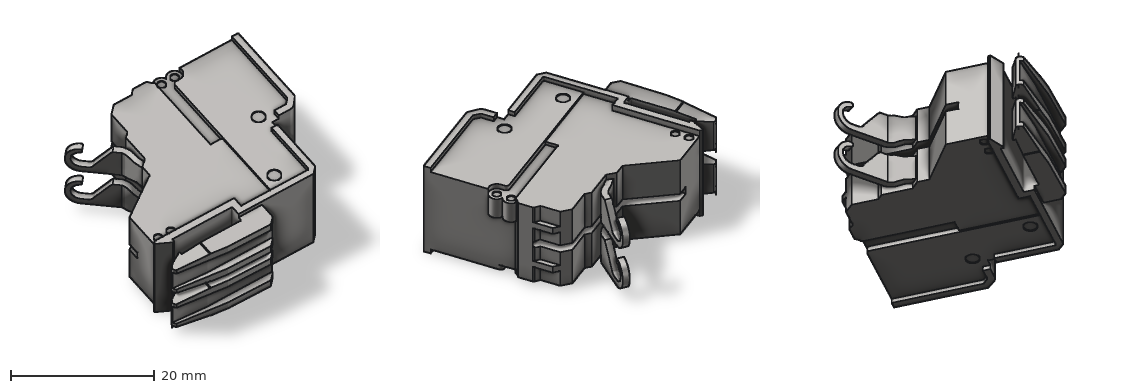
import cadquery as cq
import math


HEIGHT = 31.45
THICKNESS = 15.0
RIM_HALF = THICKNESS / 2
COVER_HALF = 6.8
LOWER_HALF = 6.5
STRIP_HALF = 5.98
LANE_SPACING = 7.08
LANE_Z = LANE_SPACING / 2

BACK_LEFT = 0.8
BACK_RIGHT = 16.3
STEP_Y = 26.45
RIGHT_X = 27.75
SPLIT_Y = 19.15
STRIP_Y = 17.18
STRIP_END = 14.47
STRIP_FILLET = 0.55
RIM_WIDTH = 1.05
BACK_RIM_WIDTH = 1.1
BACK_RIM_END = 27.55
SHOULDER_RIM_START = 17.55
RIM_FILLET = 0.25
OVERLAP = 1.57
FOOT_LEFT = 25.0
FOOT_RIGHT = 26.17
FOOT_TOP = 13.85
BASE_Y = 0.3
CHANNEL_TOP = 12.68
CHANNEL_FILLET = 0.2
HOOK_LOW = 2.2
HOOK_HIGH = 2.5
CORNER_CUT = 1.0

COVER_HOLE_DIA = 2.0
COVER_HOLES = [(14.38, 25.45), (24.32, 21.17)]
SMALL_HOLE_DIA = 1.3
FOOT_HOLES = [(24.1, 3.65), (24.1, 1.5)]
HOLE_DEPTH = 0.2

BARREL_DIA = 2.45
BARREL_X = 1.25
BARREL_YS = (20.3, 18.05)
BARREL_POINTS = [(BARREL_X, y) for y in BARREL_YS]
BARREL_BOTTOM = 2.67

SLOT_WIDTH = 1.2
SLOT_END = 20.67
SLOT_TOP = 14.13
WINDOW_DEPTH = 0.8
RIB_WIDTH = 1.05
RIB_Z = 3.4

LEG_BOTTOM = 0.7
LEG_TOP = COVER_HALF
LEG_HEAD = 16.67
LEG_OUT = 31.35
LEG_INNER = 28.4
TOOTH_X = 28.0
WEB_OUT = 30.2
FLANGE = 1.32
LEG_BEVEL_Y = 5.65
LEG_BEVEL = 0.57
BEVEL_STEP = 0.05

SHEET = 1.07
SHEET_WIDTH = 4.88
SHEET_HALF = SHEET_WIDTH / 2
NECK_HALF = 2.05
TIP_X, TIP_Y = 2.9, 0.4
SHEET_ANGLE = 48.0
NECK_ANGLE = 13.7
NARROWING_START = (9.1, 6.67, 0)
NARROWING = 1.32
ARM_LENGTH = 8.02
EYE_RADIUS = 1.5
TIP_FLAT = 0.13
END_ANGLE = 98.0


def slab(outline, low, high):
    """Extrude an XY outline from one Z height to another."""
    return outline.extrude(high - low).translate((0, 0, low))


def both_sides(solid):
    """A solid together with its mirror image below the mid plane."""
    return solid.union(solid.mirror("XY"))


def housing_core():
    """Full-thickness housing with the fixed side of the latch channel."""
    cover = slab(
        cq.Workplane().moveTo(BACK_LEFT, STRIP_Y - OVERLAP).lineTo(BACK_LEFT, HEIGHT)
        .lineTo(BACK_RIGHT - 1.67, HEIGHT)
        .lineTo(BACK_RIGHT - 0.35, HEIGHT - 1.15)
        .threePointArc((BACK_RIGHT - 0.1, HEIGHT - 1.55), (BACK_RIGHT, HEIGHT - 1.98))
        .lineTo(BACK_RIGHT, STEP_Y).lineTo(RIGHT_X - CORNER_CUT, STEP_Y)
        .lineTo(RIGHT_X, STEP_Y - CORNER_CUT).lineTo(RIGHT_X, STRIP_Y - OVERLAP).close(),
        -RIM_HALF, RIM_HALF)
    front = slab(
        cq.Workplane().polyline([
            (BACK_LEFT, SPLIT_Y), (BACK_LEFT, STRIP_Y), (0.57, 16.8), (0, 16.35), (0, 11.0),
            (2.05, 8.95), (5.98, 8.95), (6.7, 8.18), (11.3, 8.18), (12.35, 7.0),
            (14.15, 7.0), (18.8, BASE_Y), (FOOT_LEFT + 0.3, BASE_Y), (FOOT_LEFT + 0.3, FOOT_TOP),
            (RIGHT_X, FOOT_TOP), (RIGHT_X, SPLIT_Y)]).close(),
        -RIM_HALF, RIM_HALF)
    foot = slab(
        cq.Workplane().polyline([
            (FOOT_LEFT, FOOT_TOP), (FOOT_LEFT, BASE_Y), (25.23, 0), (25.48, 0),
            (26.65, HOOK_LOW), (26.65, HOOK_HIGH), (FOOT_RIGHT, HOOK_HIGH),
            (FOOT_RIGHT, CHANNEL_TOP), (RIGHT_X, CHANNEL_TOP), (RIGHT_X, FOOT_TOP)]).close(),
        -RIM_HALF, RIM_HALF)
    foot = foot.edges("|Z").edges(
        cq.selectors.NearestToPointSelector((FOOT_RIGHT, CHANNEL_TOP, 0))).fillet(CHANNEL_FILLET)
    return cover.union(front).union(foot)


def side_recesses():
    """Stepped side faces inside the rim, as one cutter for the +Z side."""
    inner_right = RIGHT_X - RIM_WIDTH
    inner_left = BACK_RIGHT - BACK_RIM_WIDTH
    rim_top = HEIGHT - BACK_RIM_WIDTH
    shoulder_top = STEP_Y - RIM_WIDTH
    cover = slab(
        cq.Workplane().polyline([
            (-OVERLAP, SPLIT_Y), (-OVERLAP, rim_top), (inner_left - 0.85, rim_top),
            (inner_left, rim_top - 0.85), (inner_left, BACK_RIM_END),
            (BACK_RIGHT + 0.3, BACK_RIM_END), (BACK_RIGHT + 0.3, STEP_Y + 0.3),
            (SHOULDER_RIM_START, STEP_Y + 0.3), (SHOULDER_RIM_START, shoulder_top),
            (inner_right, shoulder_top), (inner_right, SPLIT_Y)]).close(),
        COVER_HALF, RIM_HALF)
    rounded_corners = cq.selectors.BoxSelector(
        (inner_left - 0.95, HEIGHT - 2.2, 0), (inner_left + 0.03, HEIGHT, RIM_HALF))
    rounded_corners += cq.selectors.BoxSelector(
        (inner_right - 0.3, STEP_Y - 1.25, 0), (inner_right + 0.3, STEP_Y, RIM_HALF))
    cover = cover.edges("|Z").edges(rounded_corners).fillet(RIM_FILLET)
    front = slab(
        cq.Workplane().polyline([
            (-OVERLAP, -OVERLAP), (-OVERLAP, SPLIT_Y), (inner_right, SPLIT_Y),
            (inner_right, FOOT_TOP), (FOOT_LEFT, FOOT_TOP), (FOOT_LEFT, -OVERLAP)]).close(),
        LOWER_HALF, RIM_HALF)
    strip = slab(
        cq.Workplane().moveTo(-OVERLAP, STRIP_Y).lineTo(STRIP_END, STRIP_Y)
        .lineTo(STRIP_END, SPLIT_Y).lineTo(-OVERLAP, SPLIT_Y).close(),
        STRIP_HALF, RIM_HALF)
    return cover.union(front).union(strip)


def holes(points, diameter, face_height):
    cutter = cq.Workplane().pushPoints(points).circle(diameter / 2)
    return slab(cutter, face_height - HOLE_DEPTH, RIM_HALF)


def strip_corner():
    """Rounded cover corner at the -X end of the strip, on the -Z side."""
    radius = STRIP_FILLET
    square = cq.Workplane().rect(radius, radius, centered=False).extrude(RIM_HALF - STRIP_HALF)
    disc = cq.Workplane().center(radius, radius).circle(radius).extrude(RIM_HALF - STRIP_HALF)
    return square.cut(disc).translate((BACK_LEFT, SPLIT_Y, -RIM_HALF))


def barrel_cavity():
    """Round clearance over the first barrel, running into the strip."""
    radius = BARREL_DIA / 2
    right = BARREL_X + radius
    fillet_x = right + STRIP_FILLET
    fillet_y = SPLIT_Y + STRIP_FILLET
    diagonal = STRIP_FILLET * math.sqrt(0.5)
    outline = (
        cq.Workplane().moveTo(BARREL_X - radius, BARREL_YS[0])
        .threePointArc((BARREL_X, BARREL_YS[0] + radius), (right, BARREL_YS[0]))
        .lineTo(right, fillet_y)
        .threePointArc((fillet_x - diagonal, fillet_y - diagonal), (fillet_x, SPLIT_Y))
        .lineTo(BARREL_X - radius, SPLIT_Y).close())
    return slab(outline, STRIP_HALF, RIM_HALF)


def barrels():
    outline = cq.Workplane().pushPoints(BARREL_POINTS).circle(BARREL_DIA / 2)
    return slab(outline, BARREL_BOTTOM, STRIP_HALF)


def wire_slot():
    """Slot between the lanes with a full-round floor."""
    radius = SLOT_WIDTH / 2
    round_y = SLOT_TOP - radius
    section = (
        cq.Workplane("YZ").moveTo(-0.3, -radius).lineTo(round_y, -radius)
        .threePointArc((SLOT_TOP, 0), (round_y, radius)).lineTo(-0.3, radius).close())
    return section.extrude(SLOT_END)


def windows():
    """Recess in the -X face, interrupted by one rib per lane."""
    cutter = slab(
        cq.Workplane().polyline([
            (-0.3, SLOT_TOP), (0, SLOT_TOP), (0.13, 13.87), (WINDOW_DEPTH, 13.28),
            (WINDOW_DEPTH, 9.45), (-0.3, 9.45)]).close(),
        -RIM_HALF, RIM_HALF)
    rib = cq.Workplane().box(HEIGHT, 2 * HEIGHT, RIB_WIDTH)
    for side in (1, -1):
        cutter = cutter.cut(rib.translate((0, 0, side * RIB_Z)))
    return cutter


def latch_leg():
    """Upper latch leg: a toothed web between two flanges, thinned toward its tip."""
    leg = slab(
        cq.Workplane().moveTo(TOOTH_X, HOOK_LOW).lineTo(TOOTH_X, HOOK_HIGH)
        .lineTo(LEG_INNER, HOOK_HIGH).lineTo(LEG_INNER, CHANNEL_TOP)
        .lineTo(RIGHT_X, CHANNEL_TOP).lineTo(RIGHT_X, LEG_HEAD)
        .lineTo(LEG_OUT - CORNER_CUT, LEG_HEAD).lineTo(LEG_OUT, LEG_HEAD - CORNER_CUT)
        .lineTo(31.25, 8.43).lineTo(30.25, 0.38)
        .threePointArc((29.67, 0), (29.2, 0.15)).lineTo(28.13, 2.05).close(),
        LEG_BOTTOM, LEG_TOP)
    leg = leg.edges("|Z").edges(
        cq.selectors.NearestToPointSelector((LEG_INNER, CHANNEL_TOP, LANE_Z))).fillet(CHANNEL_FILLET)
    groove = slab(
        cq.Workplane().polyline([
            (WEB_OUT - 0.45, -0.3), (WEB_OUT, LEG_BEVEL_Y), (WEB_OUT, HEIGHT), (LEG_OUT + 0.3, HEIGHT),
            (LEG_OUT + 0.3, -0.3)]).close(),
        LEG_BOTTOM + FLANGE, LEG_TOP - FLANGE)
    bevel = cq.Workplane("YZ").polyline([
        (LEG_BEVEL_Y + BEVEL_STEP, LEG_TOP), (LEG_BEVEL_Y - BEVEL_STEP, LEG_TOP - BEVEL_STEP),
        (0, LEG_TOP - LEG_BEVEL), (0, LEG_TOP)]).close().extrude(2 * HEIGHT)
    middle = (LEG_TOP + LEG_BOTTOM) / 2
    opposite = bevel.mirror("XY").translate((0, 0, 2 * middle))
    return leg.cut(groove).cut(bevel).cut(opposite)


def spring_hook():
    """Sheet-metal hook with its width centred on Z = 0.

    The flat arm is drawn with u along the sheet from the tip and v across it (along Z).
    """
    half = SHEET_HALF
    bow = half - TIP_FLAT
    eye_u = bow
    inner_v = EYE_RADIUS - TIP_FLAT
    end = math.radians(END_ANGLE)
    end_u, end_v = math.cos(end), math.sin(end)
    middle_radius = (bow + EYE_RADIUS) / 2
    end_radius = (bow - EYE_RADIUS) / 2

    def on_eye(radius):
        return eye_u + radius * end_u, TIP_FLAT + radius * end_v

    end_tip = (eye_u + middle_radius * end_u + end_radius * end_v,
               TIP_FLAT + middle_radius * end_v - end_radius * end_u)
    diagonal = bow * math.sqrt(0.5)
    arm = (
        cq.Workplane().moveTo(*on_eye(bow))
        .threePointArc((eye_u - diagonal, TIP_FLAT + diagonal), (0, TIP_FLAT))
        .lineTo(0, -TIP_FLAT)
        .threePointArc((eye_u - diagonal, -TIP_FLAT - diagonal), (eye_u, -half))
        .lineTo(ARM_LENGTH, -half).lineTo(ARM_LENGTH, half).lineTo(6.73, half)
        .threePointArc((6.48, 2.2), (6.32, 2.0)).lineTo(4.1, -0.85)
        .threePointArc((3.75, -1.25), (3.1, -inner_v))
        .lineTo(eye_u, -inner_v)
        .threePointArc((eye_u - EYE_RADIUS, TIP_FLAT), on_eye(EYE_RADIUS))
        .threePointArc(end_tip, on_eye(bow)).close().extrude(SHEET))
    arm = arm.rotate((0, 0, 0), (1, 0, 0), 90).translate((0, SHEET, 0))
    arm = arm.rotate((0, 0, 0), (0, 0, 1), SHEET_ANGLE).translate((TIP_X, TIP_Y, 0))

    slope = math.radians(SHEET_ANGLE)
    low = (TIP_X + ARM_LENGTH * math.cos(slope), TIP_Y + ARM_LENGTH * math.sin(slope))
    high = (low[0] - SHEET * math.sin(slope), low[1] + SHEET * math.cos(slope))
    bend = slab(
        cq.Workplane().moveTo(*low).threePointArc((8.5, 6.48), (8.7, 6.58))
        .lineTo(12.58, 7.52).lineTo(12.27, 8.5).lineTo(8.5, 7.58)
        .threePointArc((7.95, 7.35), high).close(),
        -half, half)
    neck = (
        cq.Workplane("XZ").polyline([
            (-HEIGHT, -half), (0, -half), (NARROWING, -NECK_HALF), (HEIGHT, -NECK_HALF),
            (HEIGHT, NECK_HALF), (NARROWING, NECK_HALF), (0, half), (-HEIGHT, half)])
        .close().extrude(HEIGHT, both=True)
        .rotate((0, 0, 0), (0, 0, 1), NECK_ANGLE).translate(NARROWING_START))
    return arm.union(bend.intersect(neck))


body = housing_core()
body = body.cut(both_sides(side_recesses()))
body = body.cut(windows()).cut(wire_slot())
body = body.cut(barrel_cavity()).cut(strip_corner()).union(barrels())
body = body.cut(both_sides(holes(COVER_HOLES, COVER_HOLE_DIA, COVER_HALF)))
body = body.cut(both_sides(holes(FOOT_HOLES, SMALL_HOLE_DIA, LOWER_HALF)))
body = body.cut(holes(BARREL_POINTS, SMALL_HOLE_DIA, STRIP_HALF))
body = body.union(both_sides(latch_leg()))
for lane in (LANE_Z, -LANE_Z):
    body = body.union(spring_hook().translate((0, 0, lane)))

result = body